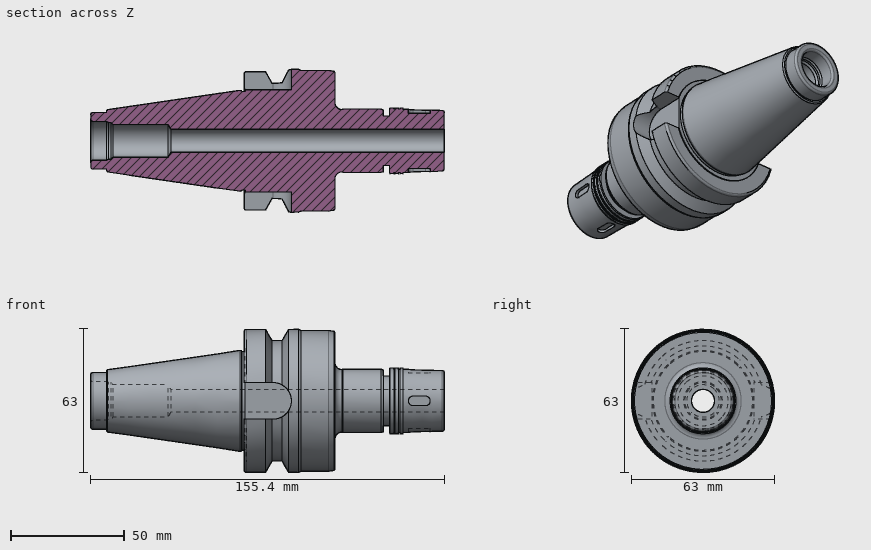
import cadquery as cq
import math


SHANK_LENGTH = 65.4
GAUGE_DIA = 44.45
TAPER_RATIO = 7 / 24
PILOT_DIA = 25.0
PILOT_LENGTH = 6.9
PILOT_EDGE = 1.0
TAPER_EDGE_LENGTH = 0.6
NECK_DIA = 43.5
GAUGE_LAND_END = 0.65
NECK_START = 1.15

FLANGE_DIA = 63.0
FLANGE_START = 2.0
FLANGE_EDGE = 1.0
RECESS_DIA = 48.4
RECESS_DEPTH = 0.45
GROOVE_CENTER = 16.5
GROOVE_DIA = 53.15
GROOVE_FLOOR_WIDTH = 4.4
GROOVE_FLANK_ANGLE = 30.0
FLANGE_END = 25.9

BODY_DIA = 62.0
BODY_START = 27.0
BODY_TAPER_START = 39.2
BODY_END = 42.0
BODY_TAPER_DROP = 0.4
BODY_CHAMFER = 0.5

NOSE_DIA = 28.0
NOSE_FILLET = 3.0
NOSE_RELIEF_DIA = 27.6
NOSE_RELIEF_RISE = 0.4
NOSE_END = 63.2
NOSE_CHAMFER = 1.0
NOSE_CHAMFER_DROP = 0.4
NUT_NECK_DIA = 22.0

NUT_DIA = 29.0
NUT_START = 65.8
NUT_END = 90.0
NUT_EDGE = 0.4
NUT_GROOVE_DIA = 28.0
NUT_GROOVE_SPANS = ((67.8, 68.3), (69.75, 70.55))
NUT_RIM_END = 71.9
NUT_SKIRT_DIA = 28.0
NUT_TIP_DIA = 26.75
NUT_TIP_FILLET = 1.0

SPANNER_SLOT_COUNT = 4
SPANNER_SLOT_CENTER = 79.0
SPANNER_SLOT_LENGTH = 9.6
SPANNER_SLOT_WIDTH = 4.2
SPANNER_SLOT_FLOOR = 12.2

DRIVE_SLOT_WIDTH = 16.1
DRIVE_SLOT_END = 22.8
DRIVE_SLOT_FLOOR = 22.5

BORE_DIA = 10.0
COUNTERBORE_DIA = 17.0
COUNTERBORE_MOUTH_DIA = 19.0
COUNTERBORE_DEPTH = 7.0
COUNTERBORE_CONE_LENGTH = 0.9
THREAD_DIA = 16.0
THREAD_START_DEPTH = 9.0
THREAD_CORE_DIA = 14.25
THREAD_DEPTH = 34.0
DRILL_POINT_ANGLE = 59.0

ARC_MIDDLE = 1 - math.sqrt(0.5)


def taper_radius(x):
    return (GAUGE_DIA + TAPER_RATIO * x) / 2


def turned(outline):
    return outline.close().revolve(360, (0, 0, 0), (1, 0, 0))


def holder_body():
    rear = -SHANK_LENGTH
    taper_start = rear + PILOT_LENGTH
    taper_edge_end = taper_start + TAPER_EDGE_LENGTH
    pilot_radius = PILOT_DIA / 2
    neck_radius = NECK_DIA / 2
    recess_floor = FLANGE_START + RECESS_DEPTH
    flange_radius = FLANGE_DIA / 2
    groove_radius = GROOVE_DIA / 2
    flank_run = (flange_radius - groove_radius) * math.tan(math.radians(GROOVE_FLANK_ANGLE))
    floor_start = GROOVE_CENTER - GROOVE_FLOOR_WIDTH / 2
    floor_end = GROOVE_CENTER + GROOVE_FLOOR_WIDTH / 2
    body_radius = BODY_DIA / 2
    body_tip_radius = body_radius - BODY_TAPER_DROP
    nose_radius = NOSE_DIA / 2
    relief_radius = NOSE_RELIEF_DIA / 2

    outline = (
        cq.Workplane("XY")
        .moveTo(rear, 0)
        .lineTo(rear, pilot_radius - PILOT_EDGE)
        .threePointArc(
            (rear + PILOT_EDGE * ARC_MIDDLE, pilot_radius - PILOT_EDGE * ARC_MIDDLE),
            (rear + PILOT_EDGE, pilot_radius),
        )
        .lineTo(taper_start, pilot_radius)
        .lineTo(taper_start, taper_radius(taper_edge_end) - TAPER_EDGE_LENGTH)
        .lineTo(taper_edge_end, taper_radius(taper_edge_end))
        .lineTo(0, taper_radius(0))
        .lineTo(GAUGE_LAND_END, taper_radius(0))
        .lineTo(NECK_START, neck_radius)
        .lineTo(recess_floor, neck_radius)
        .lineTo(recess_floor, RECESS_DIA / 2)
        .lineTo(FLANGE_START, RECESS_DIA / 2)
        .lineTo(FLANGE_START, flange_radius - FLANGE_EDGE)
        .threePointArc(
            (FLANGE_START + FLANGE_EDGE * ARC_MIDDLE, flange_radius - FLANGE_EDGE * ARC_MIDDLE),
            (FLANGE_START + FLANGE_EDGE, flange_radius),
        )
        .lineTo(floor_start - flank_run, flange_radius)
        .lineTo(floor_start, groove_radius)
        .lineTo(floor_end, groove_radius)
        .lineTo(floor_end + flank_run, flange_radius)
        .lineTo(FLANGE_END, flange_radius)
        .lineTo(BODY_START, body_radius)
        .lineTo(BODY_TAPER_START, body_radius)
        .lineTo(BODY_END - BODY_CHAMFER, body_tip_radius)
        .lineTo(BODY_END, body_tip_radius - BODY_CHAMFER)
        .lineTo(BODY_END, relief_radius + NOSE_FILLET)
        .threePointArc(
            (BODY_END + NOSE_FILLET * ARC_MIDDLE, relief_radius + NOSE_FILLET * ARC_MIDDLE),
            (BODY_END + NOSE_FILLET, relief_radius),
        )
        .lineTo(BODY_END + NOSE_FILLET + NOSE_RELIEF_RISE, nose_radius)
        .lineTo(NOSE_END - NOSE_CHAMFER, nose_radius)
        .lineTo(NOSE_END, nose_radius - NOSE_CHAMFER_DROP)
        .lineTo(NOSE_END, NUT_NECK_DIA / 2)
        .lineTo(NUT_START, NUT_NECK_DIA / 2)
        .lineTo(NUT_START, 0)
    )
    return turned(outline)


def clamping_nut():
    nut_radius = NUT_DIA / 2
    groove_radius = NUT_GROOVE_DIA / 2
    outline = (
        cq.Workplane("XY")
        .moveTo(NUT_START, 0)
        .lineTo(NUT_START, nut_radius - NUT_EDGE)
        .lineTo(NUT_START + NUT_EDGE, nut_radius)
    )
    for groove_start, groove_end in NUT_GROOVE_SPANS:
        outline = (
            outline.lineTo(groove_start, nut_radius)
            .lineTo(groove_start, groove_radius)
            .lineTo(groove_end, groove_radius)
            .lineTo(groove_end, nut_radius)
        )
    outline = (
        outline.lineTo(NUT_RIM_END, nut_radius)
        .lineTo(NUT_RIM_END, NUT_SKIRT_DIA / 2)
        .lineTo(NUT_END, NUT_TIP_DIA / 2)
        .lineTo(NUT_END, 0)
    )
    return turned(outline).faces(">X").edges().fillet(NUT_TIP_FILLET)


def spanner_slots():
    slots = cq.Workplane("XY")
    slot = (
        cq.Workplane("XY", origin=(SPANNER_SLOT_CENTER, 0, SPANNER_SLOT_FLOOR))
        .slot2D(SPANNER_SLOT_LENGTH, SPANNER_SLOT_WIDTH)
        .extrude(NUT_DIA / 2)
    )
    for index in range(SPANNER_SLOT_COUNT):
        angle = index * 360 / SPANNER_SLOT_COUNT
        slots = slots.add(slot.rotate((0, 0, 0), (1, 0, 0), angle))
    return slots.combine()


def drive_slot():
    half_width = DRIVE_SLOT_WIDTH / 2
    return (
        cq.Workplane("XZ", origin=(0, -DRIVE_SLOT_FLOOR, 0))
        .moveTo(0, -half_width)
        .lineTo(DRIVE_SLOT_END - half_width, -half_width)
        .threePointArc((DRIVE_SLOT_END, 0), (DRIVE_SLOT_END - half_width, half_width))
        .lineTo(0, half_width)
        .close()
        .extrude(FLANGE_DIA / 2)
    )


def bore():
    rear = -SHANK_LENGTH
    mouth_fillet = (COUNTERBORE_MOUTH_DIA - COUNTERBORE_DIA) / 2
    mouth_mid = mouth_fillet * ARC_MIDDLE
    counterbore_end = rear + COUNTERBORE_DEPTH
    lead_in_start = rear + THREAD_START_DEPTH
    thread_start = lead_in_start + (THREAD_DIA - THREAD_CORE_DIA) / 2
    thread_end = rear + THREAD_DEPTH
    point_run = (THREAD_CORE_DIA - BORE_DIA) / 2 / math.tan(math.radians(DRILL_POINT_ANGLE))
    outline = (
        cq.Workplane("XY")
        .moveTo(rear, 0)
        .lineTo(rear, COUNTERBORE_MOUTH_DIA / 2)
        .threePointArc(
            (rear + mouth_mid, COUNTERBORE_DIA / 2 + mouth_mid),
            (rear + mouth_fillet, COUNTERBORE_DIA / 2),
        )
        .lineTo(counterbore_end, COUNTERBORE_DIA / 2)
        .lineTo(counterbore_end + COUNTERBORE_CONE_LENGTH, THREAD_DIA / 2)
        .lineTo(lead_in_start, THREAD_DIA / 2)
        .lineTo(thread_start, THREAD_CORE_DIA / 2)
        .lineTo(thread_end, THREAD_CORE_DIA / 2)
        .lineTo(thread_end + point_run, BORE_DIA / 2)
        .lineTo(NUT_END, BORE_DIA / 2)
        .lineTo(NUT_END, 0)
    )
    return turned(outline)


result = holder_body().union(clamping_nut().cut(spanner_slots()))
for angle in (0, 180):
    result = result.cut(drive_slot().rotate((0, 0, 0), (1, 0, 0), angle))
result = result.cut(bore())